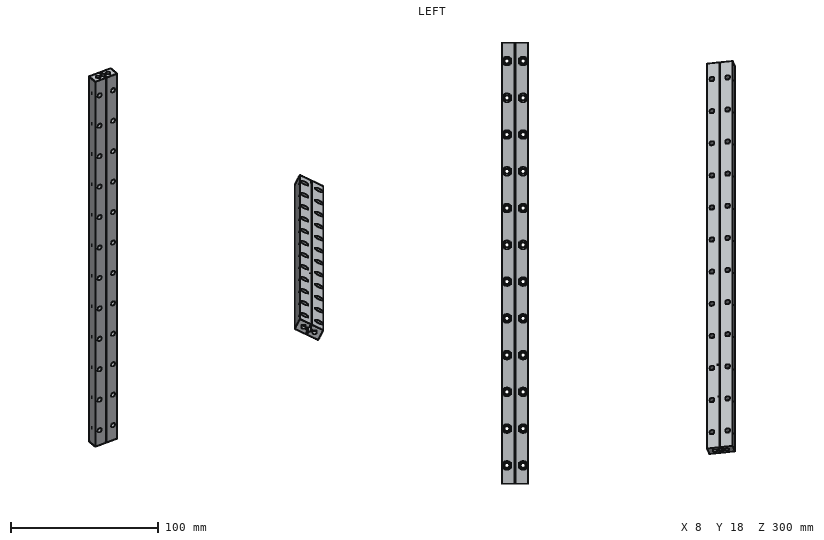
import math

import cadquery as cq

LENGTH = 300.0
THICKNESS = 8.0
PAIR_WIDTH = 18.0

RAIL_GAP = 0.5
GROOVE_ROOT_Y = 2.0
RELIEF_WIDTH = 1.0
RELIEF_Y = 2.5
EDGE_CHAMFER = 0.18

HOLE_COUNT = 12
HOLE_PITCH = LENGTH / HOLE_COUNT
HOLE_DIAMETER = 3.3
COUNTERBORE_DIAMETER = 6.0
COUNTERBORE_DEPTH = 3.0
COUNTERBORE_WALL = 0.5
HOLE_Y = PAIR_WIDTH / 2 - COUNTERBORE_WALL - COUNTERBORE_DIAMETER / 2

END_HOLE_DIAMETER = 3.0
END_HOLE_DEPTH = 6.0
END_HOLE_Y = 4.2
DRILL_POINT_ANGLE = 118.0


def rail_blank():
    """Chamfered rail on the +Y side, with its groove facing -Y."""
    inner = RAIL_GAP / 2
    outer = PAIR_WIDTH / 2
    half_thickness = THICKNESS / 2
    groove_half_mouth = GROOVE_ROOT_Y - inner
    relief_half_width = RELIEF_WIDTH / 2
    relief_start = GROOVE_ROOT_Y - relief_half_width
    section = [
        (-half_thickness, outer),
        (half_thickness, outer),
        (half_thickness, inner),
        (groove_half_mouth, inner),
        (relief_half_width, relief_start),
        (relief_half_width, RELIEF_Y),
        (-relief_half_width, RELIEF_Y),
        (-relief_half_width, relief_start),
        (-groove_half_mouth, inner),
        (-half_thickness, inner),
    ]
    blank = cq.Workplane("XY").polyline(section).close().extrude(LENGTH)
    blank = blank.edges("|Z and (<X or >X)").chamfer(EDGE_CHAMFER)
    return blank.faces("<Z or >Z").edges().chamfer(EDGE_CHAMFER)


def mounting_holes():
    """Row of through holes, counterbored from the -X face."""
    centres = [(HOLE_Y, (i + 0.5) * HOLE_PITCH) for i in range(HOLE_COUNT)]
    bored_face = cq.Workplane("YZ", origin=(-THICKNESS / 2, 0, 0)).pushPoints(centres)
    through = bored_face.circle(HOLE_DIAMETER / 2).extrude(THICKNESS)
    counterbores = bored_face.circle(COUNTERBORE_DIAMETER / 2).extrude(COUNTERBORE_DEPTH)
    return through.union(counterbores)


def end_holes():
    """Drilled hole with a conical bottom in each end."""
    radius = END_HOLE_DIAMETER / 2
    point_length = radius / math.tan(math.radians(DRILL_POINT_ANGLE / 2))
    half_profile = [
        (0, 0),
        (radius, 0),
        (radius, END_HOLE_DEPTH),
        (0, END_HOLE_DEPTH + point_length),
    ]
    lower = (
        cq.Workplane("XZ", origin=(0, END_HOLE_Y, 0))
        .polyline(half_profile)
        .close()
        .revolve(360, (0, 0, 0), (0, 1, 0))
    )
    upper = lower.mirror("XY", (0, 0, LENGTH / 2))
    return lower.union(upper)


def make_rail(mirrored):
    """One rail on the +Y side, or its mirror image on the -Y side."""
    rail = rail_blank().cut(mounting_holes()).cut(end_holes())
    return rail.mirror("XZ") if mirrored else rail


rails = [make_rail(mirrored) for mirrored in (False, True)]

result = cq.Compound.makeCompound([rail.val() for rail in rails])